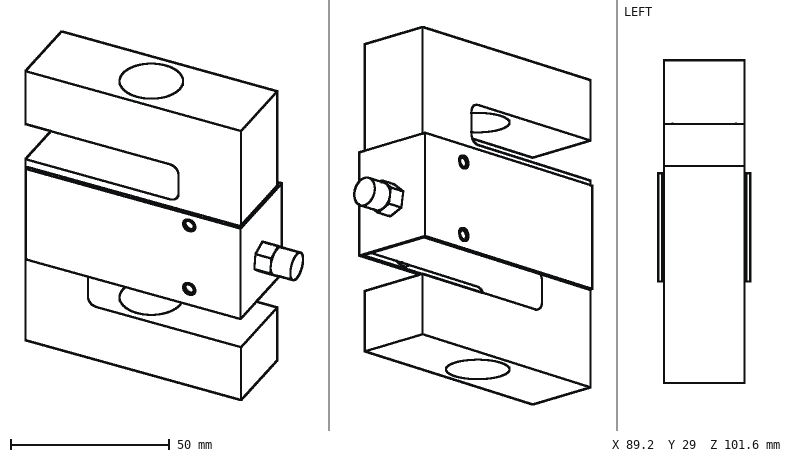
import cadquery as cq
import math

block_length = 76.0
block_width = 25.4
block_height = 101.6
arm_thickness = 20.0
slot_height = 13.2
slot_depth = 54.0
slot_corner_radius = 3.0
load_hole_diameter = 20.0

cover_width = 29.0
cover_height = 34.1
cover_center_z = -1.8
cover_left_inset = 1.1
sheet_thickness = 1.2
end_plate_thickness = 0.7
cover_left = -block_length / 2 + cover_left_inset
cover_right = block_length / 2 + end_plate_thickness
cover_inner_width = cover_width - 2 * sheet_thickness

dimple_x = 20.0
dimple_spacing = 24.0
dimple_rim_radius = 4.1
dimple_floor_radius = 2.1
dimple_hole_radius = 1.6
dimple_root_radius = 4.5
dimple_base_radius = 3.8
dimple_depth = 1.2

gland_z = -3.9
hex_across_flats = 9.0
hex_length = 5.6
hex_turn = 20.8
barrel_diameter = 9.0
overall_length = 89.2
gland_end = overall_length - block_length / 2


def make_slot(side):
    """Rounded slot open at -X (side -1, upper) or +X (side 1, lower)."""
    center_x = side * (block_length - slot_depth) / 2
    center_z = -side * (block_height / 2 - arm_thickness - slot_height / 2)
    closed_end = "<X" if side > 0 else ">X"
    return (
        cq.Workplane("XY")
        .box(slot_depth, block_width, slot_height)
        .faces(closed_end)
        .edges("|Y")
        .fillet(slot_corner_radius)
        .translate((center_x, 0, center_z))
    )


def make_block():
    """S-shaped block with a vertical load hole through each arm."""
    block = cq.Workplane("XY").box(block_length, block_width, block_height)
    for side in (-1, 1):
        arm_center_z = -side * (block_height - arm_thickness) / 2
        load_hole = (
            cq.Workplane("XY")
            .circle(load_hole_diameter / 2)
            .extrude(arm_thickness / 2, both=True)
            .translate((0, 0, arm_center_z))
        )
        block = block.cut(make_slot(side)).cut(load_hole)
    return block


def full_turn(profile):
    """Revolve a closed XY profile about the Y axis."""
    return profile.close().revolve(360, (0, 0, 0), (0, 1, 0))


def add_dimple(cover, side, z):
    """Press one holed dimple into the side plate at -Y (side -1) or +Y (side 1)."""
    outer_y = side * cover_width / 2
    inner_y = side * cover_inner_width / 2
    block_y = side * block_width / 2
    floor_y = outer_y - side * dimple_depth
    place = (dimple_x, 0, z)

    bulge = full_turn(
        cq.Workplane("XY").polyline(
            [(0, inner_y), (dimple_root_radius, inner_y), (dimple_base_radius, block_y), (0, block_y)]
        )
    )

    rim_width = dimple_rim_radius - dimple_floor_radius
    arc_radius = (rim_width**2 + dimple_depth**2) / (2 * dimple_depth)
    half_sweep = math.asin(rim_width / arc_radius) / 2
    arc_middle = (
        dimple_rim_radius - arc_radius * math.sin(half_sweep),
        outer_y - side * arc_radius * (1 - math.cos(half_sweep)),
    )
    dish = full_turn(
        cq.Workplane("XY")
        .moveTo(0, outer_y)
        .lineTo(dimple_rim_radius, outer_y)
        .threePointArc(arc_middle, (dimple_floor_radius, floor_y))
        .lineTo(dimple_hole_radius, floor_y)
        .lineTo(dimple_hole_radius, block_y)
        .lineTo(0, block_y)
    )
    return cover.union(bulge.translate(place)).cut(dish.translate(place))


def make_cover():
    """U-shaped cover with two dimples in each side plate."""
    half_outer = cover_width / 2
    half_inner = cover_inner_width / 2
    end_inner_x = block_length / 2
    cover = (
        cq.Workplane("XY")
        .polyline(
            [
                (cover_left, -half_outer),
                (cover_right, -half_outer),
                (cover_right, half_outer),
                (cover_left, half_outer),
                (cover_left, half_inner),
                (end_inner_x, half_inner),
                (end_inner_x, -half_inner),
                (cover_left, -half_inner),
            ]
        )
        .close()
        .extrude(cover_height / 2, both=True)
        .translate((0, 0, cover_center_z))
    )
    for side in (-1, 1):
        for level in (-1, 1):
            cover = add_dimple(cover, side, cover_center_z + level * dimple_spacing / 2)
    return cover


def make_gland():
    """Hexagon nut with a round barrel, as one body along X."""
    hex_across_corners = hex_across_flats / math.cos(math.radians(30))
    nut = (
        cq.Workplane("YZ", origin=(cover_right, 0, gland_z))
        .transformed(rotate=(0, 0, hex_turn))
        .polygon(6, hex_across_corners)
        .extrude(hex_length)
    )
    barrel = (
        cq.Workplane("YZ", origin=(cover_right, 0, gland_z))
        .circle(barrel_diameter / 2)
        .extrude(gland_end - cover_right)
    )
    return nut.union(barrel)


block = make_block()
cover = make_cover()
gland = make_gland()

result = cq.Compound.makeCompound([block.val(), cover.val(), gland.val()])